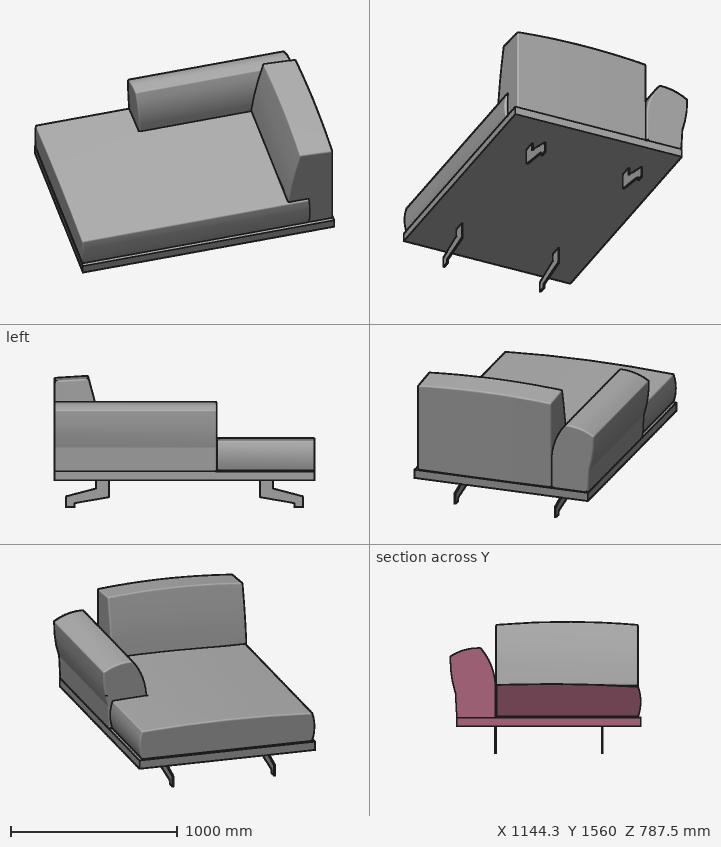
import cadquery as cq


platform_width = 1105.0
platform_length = 1560.0
platform_bottom = 160.0
platform_top = 214.0

leg_thickness = 8.0
leg_inset_x = 232.0
leg_tip_y = 70.0
leg_foot_width = 51.0
leg_foot_height = 23.0
leg_shoulder_height = 65.0
leg_stem_y = 250.0
leg_stem_width = 80.0
leg_knee_height = 60.0
leg_stem_bend_height = 112.0
leg_corner_radius = 8.0

seam_radius = 11.0

seat_length = 1410.0
seat_corner_inset = 15.0
seat_bottom = 218.0
seat_edge_height = 398.0
seat_crown_height = 415.0

arm_front_y = 586.0
arm_bottom_width = 234.0
arm_crease = (-8.0, 359.0)
arm_outer_bulge = (-33.0, 468.0)
arm_outer_top = (-39.0, 580.0)
arm_top_mid = (45.0, 619.0)
arm_inner_top = (143.0, 632.0)
arm_inner_mid = (200.0, 546.0)
arm_inner_foot = (arm_bottom_width, 405.0)

notch_side_gap = 5.0
notch_front_gap = 3.0
back_side_gap = 2.0

back_left = arm_bottom_width + back_side_gap
back_right = 1087.0
back_crown_height = 788.0
back_crown_drop = 19.0
back_rear_drop = 12.0
back_top_front_y = 1358.0
back_face_mid = (1316.0, 632.0)
back_face_foot_y = 1276.0
back_underside = 404.0
back_rear_bulge = 5.0

platform_mid_x = platform_width / 2
platform_mid_y = platform_length / 2
back_mid_x = (back_left + back_right) / 2


def make_platform():
    return (
        cq.Workplane("XY")
        .workplane(offset=platform_bottom)
        .rect(platform_width, platform_length, centered=False)
        .extrude(platform_top - platform_bottom)
    )


def make_leg(mid_x):
    """Leg at the foot end: a stem that bends outward to a small foot."""
    stem_inner_y = leg_stem_y + leg_stem_width
    leg = (
        cq.Workplane("YZ")
        .workplane(offset=mid_x - leg_thickness / 2)
        .moveTo(leg_tip_y, 0)
        .lineTo(leg_tip_y + leg_foot_width, 0)
        .lineTo(leg_tip_y + leg_foot_width, leg_foot_height)
        .lineTo(stem_inner_y, leg_knee_height)
        .lineTo(stem_inner_y, platform_bottom)
        .lineTo(leg_stem_y, platform_bottom)
        .lineTo(leg_stem_y, leg_stem_bend_height)
        .lineTo(leg_tip_y, leg_shoulder_height)
        .close()
        .extrude(leg_thickness)
    )
    rounded_corners = (
        (leg_tip_y + leg_foot_width, leg_foot_height),
        (stem_inner_y, leg_knee_height),
        (leg_tip_y, leg_shoulder_height),
    )
    for corner in rounded_corners:
        leg = leg.edges(cq.selectors.NearestToPointSelector((mid_x, *corner))).fillet(leg_corner_radius)
    return leg


def make_legs():
    """Two legs at the foot end and their mirror images at the head end."""
    legs = []
    for mid_x in (leg_inset_x, platform_width - leg_inset_x):
        leg = make_leg(mid_x)
        legs.append(leg)
        legs.append(leg.mirror("XZ", (0, platform_mid_y, 0)))
    return legs


def make_seat():
    """Crowned cushion with bulging sides, notched around the armrest."""
    left = seat_corner_inset
    right = platform_width - seat_corner_inset
    side_mid_z = (seat_bottom + seat_edge_height) / 2
    cushion = (
        cq.Workplane("XZ")
        .moveTo(left, seat_bottom)
        .lineTo(right, seat_bottom)
        .threePointArc((platform_width, side_mid_z), (right, seat_edge_height))
        .threePointArc((platform_mid_x, seat_crown_height), (left, seat_edge_height))
        .threePointArc((0, side_mid_z), (left, seat_bottom))
        .close()
        .extrude(-seat_length)
    )
    notch_width = arm_bottom_width + notch_side_gap
    notch_front_y = arm_front_y - notch_front_gap
    notch = (
        cq.Workplane("XY", origin=(0, notch_front_y, 0))
        .rect(notch_width, platform_length - notch_front_y, centered=False)
        .extrude(seat_crown_height)
    )
    return cushion.cut(notch).edges().fillet(seam_radius)


def make_armrest():
    """Leaning armrest with a crease along its outer side."""
    arm = (
        cq.Workplane("XZ", origin=(0, arm_front_y, 0))
        .moveTo(0, platform_top)
        .lineTo(arm_bottom_width, platform_top)
        .lineTo(*arm_inner_foot)
        .threePointArc(arm_inner_mid, arm_inner_top)
        .threePointArc(arm_top_mid, arm_outer_top)
        .threePointArc(arm_outer_bulge, arm_crease)
        .close()
        .extrude(arm_front_y - platform_length)
    )
    end_edges = arm.faces("<Y or >Y").edges()
    top_edges = arm.edges("|Y").edges(">Z or <X")
    return end_edges.add(top_edges).fillet(seam_radius)


def make_back_side():
    """Back cushion before crowning: convex leaning front face and upright rear face."""
    return (
        cq.Workplane("YZ", origin=(back_left, 0, 0))
        .moveTo(back_face_foot_y, back_underside)
        .lineTo(seat_length, back_underside)
        .lineTo(seat_length, platform_top)
        .lineTo(platform_length, platform_top)
        .lineTo(platform_length, back_crown_height)
        .lineTo(back_top_front_y, back_crown_height)
        .threePointArc(back_face_mid, (back_face_foot_y, back_underside))
        .close()
        .extrude(back_right - back_left)
    )


def make_back_crown():
    """Prism under the crowned top, running down toward the rear."""
    depth = platform_length - back_top_front_y
    slope_plane = cq.Plane(
        origin=(back_mid_x, back_top_front_y, back_crown_height),
        xDir=(1, 0, 0),
        normal=(0, depth, -back_rear_drop),
    )
    half_width = (back_right - back_left) / 2
    return (
        cq.Workplane(slope_plane)
        .moveTo(-half_width, back_crown_drop)
        .threePointArc((0, 0), (half_width, back_crown_drop))
        .lineTo(half_width, back_crown_height)
        .lineTo(-half_width, back_crown_height)
        .close()
        .extrude(2 * depth, both=True)
    )


def make_back_plan():
    """Prism over the floor plan of the back cushion, with its slightly bulging rear."""
    corner_y = platform_length - back_rear_bulge
    return (
        cq.Workplane("XY")
        .moveTo(back_left, 0)
        .lineTo(back_right, 0)
        .lineTo(back_right, corner_y)
        .threePointArc((back_mid_x, platform_length), (back_left, corner_y))
        .close()
        .extrude(back_crown_height)
    )


def make_back(seat):
    """Back cushion that stands on the platform behind the seat and leans over its rear end."""
    cushion = make_back_side().intersect(make_back_crown()).intersect(make_back_plan())
    return cushion.edges().fillet(seam_radius).cut(seat)


platform = make_platform()
legs = make_legs()
seat = make_seat()
armrest = make_armrest()
back = make_back(seat)

result = cq.Compound.makeCompound([
    platform.val(),
    *[leg.val() for leg in legs],
    seat.val(),
    armrest.val(),
    back.val(),
])